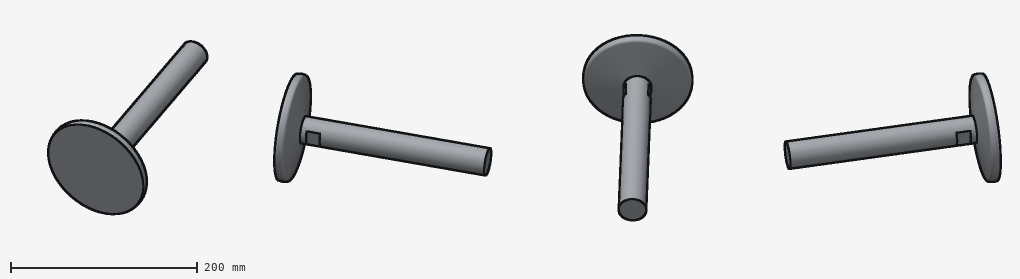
import cadquery as cq
import math

total_length = 222.0
shaft_diameter = 30.0
foot_diameter = 118.0
foot_face_diameter = 117.0
rim_top_diameter = 117.5
rim_widest_height = 4.2
rim_top_height = 6.9
cone_top_height = 16.9
cone_slope_degrees = 9.4
flat_start = 23.5
flat_length = 15.0
width_across_flats = 24.0

shaft_radius = shaft_diameter / 2
rim_top_radius = rim_top_diameter / 2


def make_body():
    """Revolve the foot and shaft half profile about the Y axis."""
    slope = math.radians(cone_slope_degrees)
    corner_height = cone_top_height - (rim_top_radius - shaft_radius) * math.tan(slope)

    tangent_length = corner_height - rim_top_height
    shoulder_radius = tangent_length / math.tan((math.pi / 2 - slope) / 2)
    center_x = rim_top_radius - shoulder_radius

    def shoulder_point(angle):
        return (
            center_x + shoulder_radius * math.cos(angle),
            rim_top_height + shoulder_radius * math.sin(angle),
        )

    cone_normal_angle = math.pi / 2 - slope
    return (
        cq.Workplane("XY")
        .moveTo(0, 0)
        .lineTo(foot_face_diameter / 2, 0)
        .lineTo(foot_diameter / 2, rim_widest_height)
        .lineTo(rim_top_radius, rim_top_height)
        .threePointArc(shoulder_point(cone_normal_angle / 2), shoulder_point(cone_normal_angle))
        .lineTo(shaft_radius, cone_top_height)
        .lineTo(shaft_radius, total_length)
        .lineTo(0, total_length)
        .close()
        .revolve(360, (0, 0, 0), (0, 1, 0))
    )


def make_flat_cutter(side):
    """Block that removes one wrench flat; side is -1 or +1 along X."""
    block_width = shaft_diameter
    return cq.Workplane("XY").box(block_width, flat_length, shaft_diameter).translate(
        (side * (width_across_flats + block_width) / 2, flat_start + flat_length / 2, 0)
    )


result = make_body()
for side in (-1, 1):
    result = result.cut(make_flat_cutter(side))